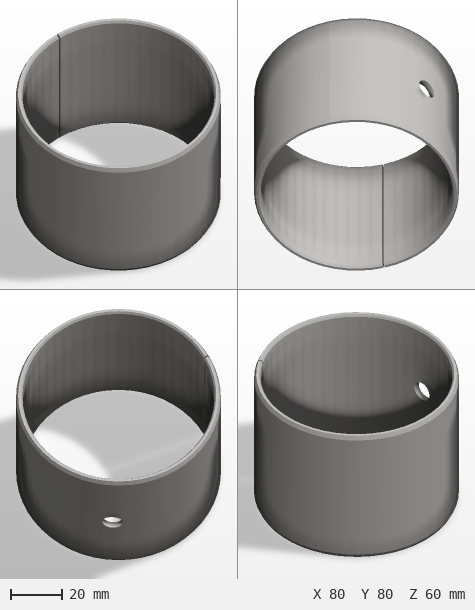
import cadquery as cq

outer_diameter = 80
wall = 2.5
length = 60

outer_chamfer_length = 1.8
outer_chamfer_depth = 0.8
inner_chamfer_length = 1.0
inner_chamfer_depth = 0.6

split_width = 0.6
split_offset = 0.3

oil_hole_diameter = 8
oil_hole_angle = 59

outer_radius = outer_diameter / 2
inner_radius = outer_radius - wall
half_length = length / 2


def sleeve():
    """Revolve the wall section, chamfered at all four corners."""
    outer_chamfer_z = half_length - outer_chamfer_length
    inner_chamfer_z = half_length - inner_chamfer_length
    outer_end_radius = outer_radius - outer_chamfer_depth
    inner_end_radius = inner_radius + inner_chamfer_depth
    section = [
        (inner_radius, -inner_chamfer_z),
        (inner_end_radius, -half_length),
        (outer_end_radius, -half_length),
        (outer_radius, -outer_chamfer_z),
        (outer_radius, outer_chamfer_z),
        (outer_end_radius, half_length),
        (inner_end_radius, half_length),
        (inner_radius, inner_chamfer_z),
    ]
    return cq.Workplane("XZ").polyline(section).close().revolve(360, (0, 0), (0, 1))


def split():
    """Slab that opens the wall along its whole length."""
    return (
        cq.Workplane("XY")
        .box(outer_radius, split_width, length)
        .translate((-outer_radius, split_offset, 0))
    )


def oil_hole():
    """Cylinder from the axis outwards, crossing one side of the wall."""
    return (
        cq.Workplane("YZ")
        .circle(oil_hole_diameter / 2)
        .extrude(outer_diameter)
        .rotate((0, 0, 0), (0, 0, 1), oil_hole_angle)
    )


result = sleeve().cut(split()).cut(oil_hole())